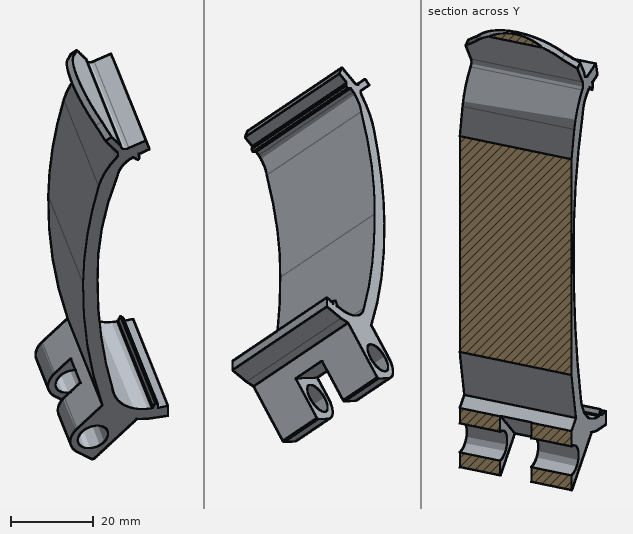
import cadquery as cq
import math

width = 30.0

hinge_radius = 5.7
pin_hole_radius = 3.8
pin_reach = 18.9
half_diagonal = hinge_radius * math.sqrt(2)
pin_height = 7.8
slot_width = 8.3

band_thickness = 3.7
band_foot_reach = 16.5
band_low = (19.8, 36.6)
band_crest = (21.4, 62.7)
inner_high = (16.4, 82.0)
band_top = (17.5, 95.5)
root_fillet_start = (13.1, 104.1)
root_fillet_middle = (12.6, 105.1)
root_fillet_end = (12.8, 106.2)

total_height = 118.8
lip_tip_reach = 18.4
lip_tilt = math.radians(31.5)
lip_thickness = 1.8
lip_root_height = 108.0
crown_half_width = 11.6
crown_drop = 5.2
shoulder_drop = 8.1
cut_margin = 1.2

flange_top = 13.2
flange_bottom = 9.6
flange_step = (5.2, 10.1)
flange_root_reach = 7.8
lower_barb = [(3.8, 13.8), (3.2, 15.1), (2.5, 14.2), (2.5, flange_top)]
hollow_start = (13.8, 22.3)
hollow_middle = (10.6, 16.3)
hollow_end = (4.0, 13.5)

upper_flange_top = (5.6, 108.1)
upper_flange_bottom = (4.6, 104.7)
upper_barb = [(7.4, 103.8), (7.1, 102.5), (7.6, 101.9), (8.8, 103.1)]
inner_bend_start = (9.7, 102.6)
inner_bend_middle = (11.8, 100.5)
inner_bend_end = (12.7, 97.7)
lip_fillet_middle = (10.9, 106.6)
lip_fillet_end = (9.9, 106.8)

side_plane = cq.Plane(origin=(0, 0, 0), xDir=(0, -1, 0), normal=(-1, 0, 0))


def inner_side(point):
    """Point on the inner face of the band, opposite a point on its outer face."""
    return (point[0] - band_thickness, point[1])


def extrude_across(profile, across):
    return profile.extrude(across / 2, both=True)


def make_body():
    lip_inner_tip = (lip_tip_reach, total_height)
    lip_outer_tip = (
        lip_tip_reach + lip_thickness * math.cos(lip_tilt),
        total_height - lip_thickness * math.sin(lip_tilt),
    )
    lip_inner_root = (
        lip_tip_reach - (total_height - lip_root_height) * math.tan(lip_tilt),
        lip_root_height,
    )
    upper_face_sum = pin_reach + pin_height + half_diagonal
    lower_face_sum = pin_reach + pin_height - half_diagonal
    tangent_offset = half_diagonal / 2
    tip_half_width = half_diagonal - pin_height

    profile = (
        cq.Workplane(side_plane)
        .moveTo(pin_reach - tip_half_width, 0)
        .lineTo(pin_reach + tip_half_width, 0)
        .lineTo(pin_reach + tangent_offset, pin_height - tangent_offset)
        .threePointArc(
            (pin_reach + hinge_radius, pin_height),
            (pin_reach + tangent_offset, pin_height + tangent_offset),
        )
        .lineTo(band_foot_reach, upper_face_sum - band_foot_reach)
        .threePointArc(band_low, band_crest)
        .tangentArcPoint(band_top, relative=False)
        .tangentArcPoint(root_fillet_start, relative=False)
        .threePointArc(root_fillet_middle, root_fillet_end)
        .lineTo(*lip_outer_tip)
        .lineTo(*lip_inner_tip)
        .lineTo(*lip_inner_root)
        .threePointArc(lip_fillet_middle, lip_fillet_end)
        .lineTo(*upper_flange_top)
        .lineTo(*upper_flange_bottom)
        .polyline(upper_barb, includeCurrent=True)
        .lineTo(*inner_bend_start)
        .threePointArc(inner_bend_middle, inner_bend_end)
        .threePointArc(inner_high, inner_side(band_crest))
        .threePointArc(inner_side(band_low), hollow_start)
        .threePointArc(hollow_middle, hollow_end)
        .polyline(lower_barb, includeCurrent=True)
        .lineTo(0, flange_top)
        .lineTo(0, flange_bottom)
        .lineTo(*flange_step)
        .lineTo(flange_root_reach, lower_face_sum - flange_root_reach)
        .close()
    )
    return extrude_across(profile, width)


def make_pin_hole():
    circle = cq.Workplane(side_plane).center(pin_reach, pin_height).circle(pin_hole_radius)
    return extrude_across(circle, width)


def make_hinge_slot():
    """Square cutter with its floor one hinge radius from the pin, open past the block's end."""
    slot_size = 4 * hinge_radius
    slot_shift = slot_size / 2 - hinge_radius
    square = (
        cq.Workplane(side_plane)
        .center(pin_reach, pin_height)
        .transformed(rotate=(0, 0, -45))
        .center(slot_shift, 0)
        .rect(slot_size, slot_size)
    )
    return extrude_across(square, slot_width)


def make_crown_cutter():
    """Waste outside the crowned tip, cut square to the lip plate."""
    lip_plane = cq.Plane(
        origin=(0, -lip_tip_reach, total_height),
        xDir=(1, 0, 0),
        normal=(0, -math.cos(lip_tilt), -math.sin(lip_tilt)),
    )
    half_width = width / 2
    profile = (
        cq.Workplane(lip_plane)
        .moveTo(-half_width, -shoulder_drop)
        .lineTo(-crown_half_width, -crown_drop)
        .threePointArc((0, 0), (crown_half_width, -crown_drop))
        .lineTo(half_width, -shoulder_drop)
        .lineTo(half_width, cut_margin)
        .lineTo(-half_width, cut_margin)
        .close()
    )
    return profile.extrude(lip_thickness + cut_margin, both=True)


result = make_body().cut(make_pin_hole()).cut(make_hinge_slot()).cut(make_crown_cutter())